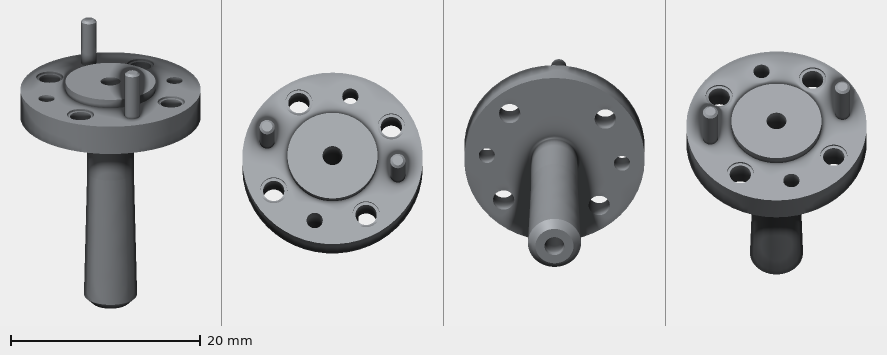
import cadquery as cq
import math

total_height = 29.55

stem_neck_diameter = 4.93
stem_end_diameter = 5.6
end_chamfer = 0.8
taper_top = 15.05
neck_fillet = 0.27

flange_diameter = 19.05
flange_bottom = 21.33
flange_thickness = 3.15
boss_diameter = 9.5
boss_height = 0.95
bore_diameter = 2.1

pattern_radius = 7.15
bolt_hole_diameter = 2.25
counterbore_diameter = 2.87
counterbore_depth = 0.2
dowel_hole_diameter = 1.7
pin_diameter = 1.6
pin_tip_diameter = 1.1
pin_tip_height = 0.2

flange_top = flange_bottom + flange_thickness
boss_top = flange_top + boss_height


def pattern_points(angles):
    """Points on the hole circle at the given angles in degrees."""
    return [
        (pattern_radius * math.cos(math.radians(a)), pattern_radius * math.sin(math.radians(a)))
        for a in angles
    ]


def cylinders(points, diameter, bottom, top):
    """Upright cylinders of one diameter between two heights."""
    base = cq.Workplane("XY", origin=(0, 0, bottom))
    return base.pushPoints(points).circle(diameter / 2).extrude(top - bottom)


def turned_body():
    """Stem, flange and raised face as one revolved half profile."""
    neck_radius = stem_neck_diameter / 2
    end_radius = stem_end_diameter / 2
    flange_radius = flange_diameter / 2
    boss_radius = boss_diameter / 2
    arc_reach = neck_fillet * (1 - math.sqrt(0.5))
    return (
        cq.Workplane("XZ")
        .moveTo(0, 0)
        .lineTo(end_radius - end_chamfer, 0)
        .lineTo(end_radius, end_chamfer)
        .lineTo(neck_radius, taper_top)
        .lineTo(neck_radius, flange_bottom - neck_fillet)
        .threePointArc(
            (neck_radius + arc_reach, flange_bottom - arc_reach),
            (neck_radius + neck_fillet, flange_bottom),
        )
        .lineTo(flange_radius, flange_bottom)
        .lineTo(flange_radius, flange_top)
        .lineTo(boss_radius, flange_top)
        .lineTo(boss_radius, boss_top)
        .lineTo(0, boss_top)
        .close()
        .revolve(360, (0, 0, 0), (0, 1, 0))
    )


def dowel_pins(points):
    """Pins standing in the flange, with beveled tips."""
    shoulder = total_height - pin_tip_height
    shanks = cylinders(points, pin_diameter, flange_bottom, shoulder)
    tips = (
        cq.Workplane("XZ")
        .polyline([
            (0, shoulder),
            (pin_diameter / 2, shoulder),
            (pin_tip_diameter / 2, total_height),
            (0, total_height),
        ])
        .close()
        .revolve(360, (0, 0, 0), (0, 1, 0))
    )
    for x, y in points:
        shanks = shanks.union(tips.translate((x, y, 0)))
    return shanks


bolt_points = pattern_points([0, 90, 180, 270])
dowel_hole_points = pattern_points([45, 225])
pin_points = pattern_points([135, 315])

result = (
    turned_body()
    .cut(cylinders([(0, 0)], bore_diameter, 0, boss_top))
    .cut(cylinders(bolt_points, bolt_hole_diameter, flange_bottom, flange_top))
    .cut(cylinders(bolt_points, counterbore_diameter, flange_top - counterbore_depth, flange_top))
    .cut(cylinders(dowel_hole_points, dowel_hole_diameter, flange_bottom, flange_top))
    .union(dowel_pins(pin_points))
)